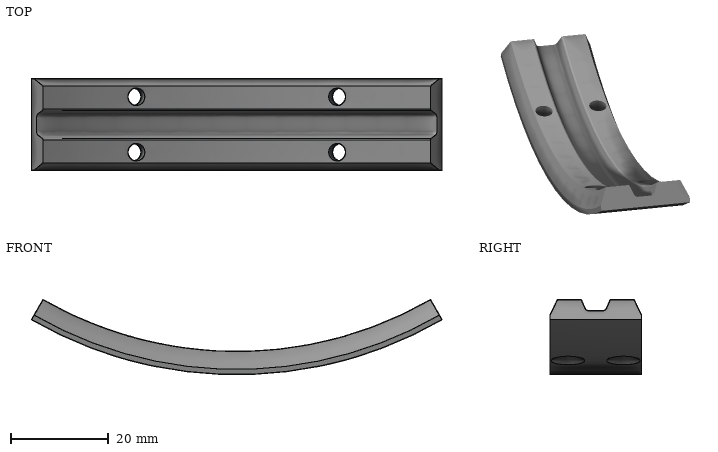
import cadquery as cq
import math

outer_radius = 84.1
half_angle = 30.0
thickness = 4.75
width = 18.8
inner_radius = outer_radius - thickness

side_wall_height = 1.1
bevel_width = 1.5
groove_depth = 2.6
groove_floor_width = 3.95
groove_mouth_width = 5.9
groove_floor_fillet = 0.8
groove_mouth_fillet = 0.3

hole_diameter = 3.5
head_diameter = 6.8
countersink_angle = 90.0
hole_pitch = 11.35
hole_angle = 15.0
drill_margin = 0.8


def make_rail():
    """Revolve the grooved, bevelled profile about an axis along Y at the arc centre."""
    half_width = width / 2
    bevel_start = side_wall_height - outer_radius
    top = -inner_radius
    groove_floor = top - groove_depth
    outline = [
        (-half_width, -outer_radius),
        (half_width, -outer_radius),
        (half_width, bevel_start),
        (half_width - bevel_width, top),
        (groove_mouth_width / 2, top),
        (groove_floor_width / 2, groove_floor),
        (-groove_floor_width / 2, groove_floor),
        (-groove_mouth_width / 2, top),
        (-half_width + bevel_width, top),
        (-half_width, bevel_start),
    ]
    rail = (
        cq.Workplane("YZ")
        .polyline(outline)
        .close()
        .revolve(2 * half_angle, (0, 0, 0), (1, 0, 0))
        .rotate((0, 0, 0), (0, 1, 0), -half_angle)
    )
    rail = round_groove_edges(rail, groove_floor_width, inner_radius + groove_depth, groove_floor_fillet)
    return round_groove_edges(rail, groove_mouth_width, inner_radius, groove_mouth_fillet)


def round_groove_edges(rail, edge_spacing, edge_radius, fillet_radius):
    """Fillet the pair of arc edges with the given spacing in Y and radius of curvature."""
    sagitta_height = edge_radius * (1 - math.cos(math.radians(half_angle)))
    middle_height = -edge_radius + sagitta_height / 2
    half_chord = edge_radius * math.sin(math.radians(half_angle))
    selection_slack = 0.1
    for side in (-1, 1):
        edge_y = side * edge_spacing / 2
        edge_box = cq.selectors.BoxSelector(
            (-half_chord - selection_slack, edge_y - selection_slack, middle_height - sagitta_height),
            (half_chord + selection_slack, edge_y + selection_slack, middle_height + sagitta_height),
            boundingbox=True,
        )
        rail = rail.edges(edge_box).fillet(fillet_radius)
    return rail


def make_screw_cutter(angle, y):
    """Radial through hole with a countersink opening on the outer face."""
    sink_depth = (head_diameter - hole_diameter) / 2 / math.tan(math.radians(countersink_angle / 2))
    hole_radius = hole_diameter / 2
    head_radius = head_diameter / 2
    cutter = (
        cq.Workplane("XZ")
        .moveTo(0, -outer_radius - drill_margin)
        .lineTo(head_radius, -outer_radius - drill_margin)
        .lineTo(head_radius, -outer_radius)
        .lineTo(hole_radius, -outer_radius + sink_depth)
        .lineTo(hole_radius, -inner_radius + drill_margin)
        .lineTo(0, -inner_radius + drill_margin)
        .close()
        .revolve(360, (0, 0, 0), (0, 1, 0))
    )
    return cutter.translate((0, y, 0)).rotate((0, 0, 0), (0, 1, 0), angle)


result = make_rail()
for angle in (-hole_angle, hole_angle):
    for y in (-hole_pitch / 2, hole_pitch / 2):
        result = result.cut(make_screw_cutter(angle, y))